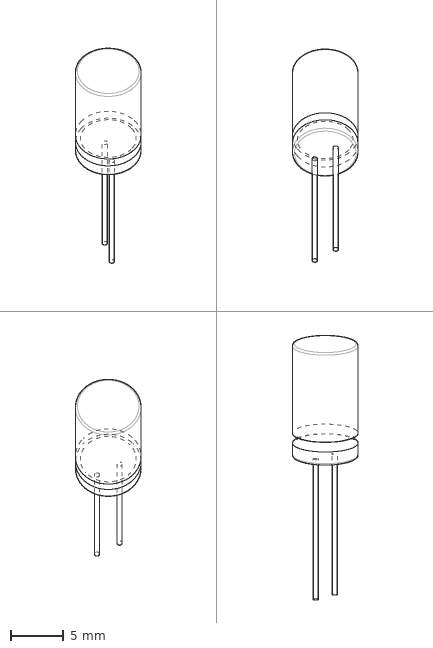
import cadquery as cq

total_height = 25.2
can_diameter = 6.3
can_height = 11.21
edge_round = 0.2

groove_center_height = 1.85
groove_width = 0.95
groove_depth = 0.48

lead_diameter = 0.5
lead_spacing = 2.5

can_radius = can_diameter / 2
lead_length = total_height - can_height


def make_can():
    """Upright can with its base at Z = 0 and rounded rims."""
    can = cq.Workplane("XY").circle(can_radius).extrude(can_height)
    return can.faces("<Z or >Z").edges().fillet(edge_round)


def make_groove():
    """Ring to remove from the can wall, with an arc as its inner profile."""
    bottom = groove_center_height - groove_width / 2
    top = groove_center_height + groove_width / 2
    return (
        cq.Workplane("XZ")
        .moveTo(can_radius, bottom)
        .threePointArc((can_radius - groove_depth, groove_center_height), (can_radius, top))
        .close()
        .revolve(360, (0, 0, 0), (0, 1, 0))
    )


def make_leads():
    """Two straight leads hanging from the can base."""
    return (
        cq.Workplane("XY")
        .pushPoints([(-lead_spacing / 2, 0), (lead_spacing / 2, 0)])
        .circle(lead_diameter / 2)
        .extrude(-lead_length)
    )


result = make_can().cut(make_groove()).union(make_leads())